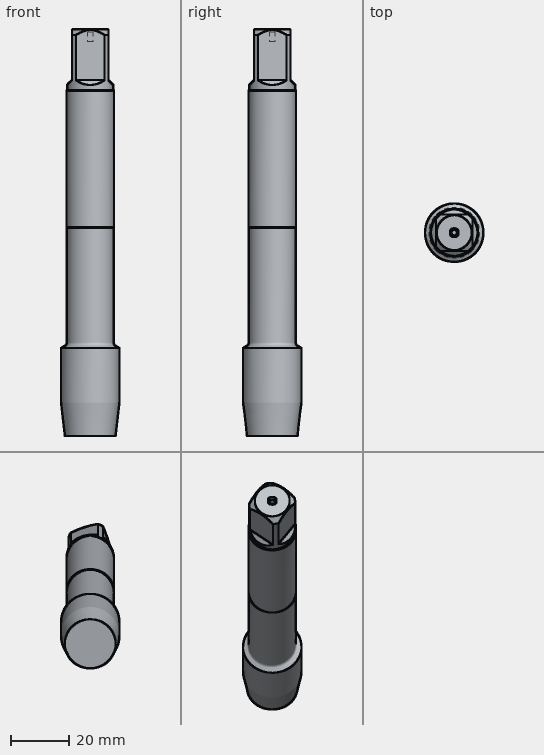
import cadquery as cq
import math

LENGTH = 140.0
LEAD_HEIGHT = 11.5
HEAD_TOP = 30.2
ROOT_TOP = 32.2
STEP_HEIGHT = 71.7
NECK_BASE = 119.0
FLAT_BASE = 122.5

HEAD_DIAMETER = 20.2
LEAD_DIAMETER = 17.5
LOWER_SHANK_DIAMETER = 16.2
UPPER_SHANK_DIAMETER = 16.5
NECK_DIAMETER = 16.0
CENTRE_DIAMETER = 2.0
CENTRE_MOUTH_DIAMETER = 3.1
COUNTERSINK_ANGLE = 60
COUNTERSINK_WIDTH = (CENTRE_MOUTH_DIAMETER - CENTRE_DIAMETER) / 2
COUNTERSINK_DEPTH = COUNTERSINK_WIDTH / math.tan(math.radians(COUNTERSINK_ANGLE / 2))
CENTRE_DEPTH = 4.2

FLAT_COUNT = 4
SQUARE_WIDTH = 12.6
END_CHAMFER = 2.0
SHANK_CHAMFER = (UPPER_SHANK_DIAMETER - NECK_DIAMETER) / 2
ROOT_FILLET = 1.4
ROOT_TURN = math.radians(45)


def root_fillet_point(turn):
    """Point (radius, height) on the root fillet after it turns away from the shank."""
    return (
        LOWER_SHANK_DIAMETER / 2 + ROOT_FILLET * (1 - math.cos(turn)),
        ROOT_TOP - ROOT_FILLET * math.sin(turn),
    )


def revolve_profile(points):
    """Turn a closed (radius, height) outline about the Z axis."""
    return cq.Workplane("XZ").polyline(points).close().revolve(360, (0, 0, 0), (0, 1, 0))


def make_cutting_head():
    """Cylindrical head with a tapered lead."""
    head_radius = HEAD_DIAMETER / 2
    return revolve_profile([
        (0, 0),
        (LEAD_DIAMETER / 2, 0),
        (head_radius, LEAD_HEIGHT),
        (head_radius, HEAD_TOP),
        (0, HEAD_TOP),
    ])


def make_turned_shank():
    """Stepped round shank with a conical shoulder, before the drive square is cut."""
    lower_radius = LOWER_SHANK_DIAMETER / 2
    upper_radius = UPPER_SHANK_DIAMETER / 2
    neck_radius = NECK_DIAMETER / 2
    return (
        cq.Workplane("XZ")
        .moveTo(0, HEAD_TOP)
        .lineTo(HEAD_DIAMETER / 2, HEAD_TOP)
        .lineTo(*root_fillet_point(ROOT_TURN))
        .threePointArc(root_fillet_point(ROOT_TURN / 2), (lower_radius, ROOT_TOP))
        .lineTo(lower_radius, STEP_HEIGHT)
        .lineTo(upper_radius, STEP_HEIGHT + SHANK_CHAMFER)
        .lineTo(upper_radius, NECK_BASE - SHANK_CHAMFER)
        .lineTo(neck_radius, NECK_BASE)
        .lineTo(neck_radius, LENGTH - END_CHAMFER)
        .lineTo(neck_radius - END_CHAMFER, LENGTH)
        .lineTo(0, LENGTH)
        .close()
        .revolve(360, (0, 0, 0), (0, 1, 0))
    )


def make_flat_cutter():
    """Wedge-ended block that cuts one drive flat with a 45 degree run-out."""
    flat_offset = SQUARE_WIDTH / 2
    reach = NECK_DIAMETER
    run_out = reach - flat_offset
    return (
        cq.Workplane("XZ")
        .polyline([
            (flat_offset, FLAT_BASE),
            (reach, FLAT_BASE - run_out),
            (reach, LENGTH),
            (flat_offset, LENGTH),
        ])
        .close()
        .extrude(reach, both=True)
    )


def make_centre_hole():
    """Countersunk centre hole in the drive end."""
    hole_radius = CENTRE_DIAMETER / 2
    mouth_radius = CENTRE_MOUTH_DIAMETER / 2
    return revolve_profile([
        (0, LENGTH),
        (mouth_radius, LENGTH),
        (hole_radius, LENGTH - COUNTERSINK_DEPTH),
        (hole_radius, LENGTH - CENTRE_DEPTH),
        (0, LENGTH - CENTRE_DEPTH),
    ])


def make_shank():
    """Shank with its drive square and centre hole."""
    shank = make_turned_shank()
    for side in range(FLAT_COUNT):
        shank = shank.cut(make_flat_cutter().rotate((0, 0, 0), (0, 0, 1), side * 360 / FLAT_COUNT))
    return shank.cut(make_centre_hole())


cutting_head = make_cutting_head()
shank = make_shank()
result = cq.Compound.makeCompound([cutting_head.val(), shank.val()])